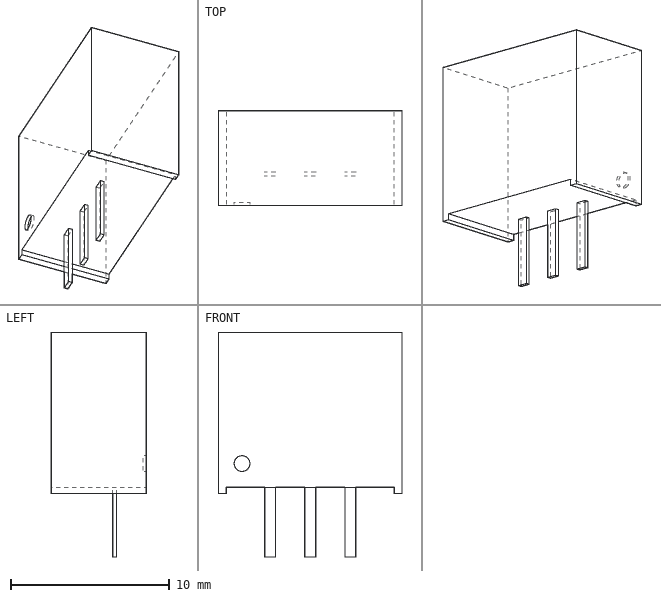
import cadquery as cq

body_length = 11.6
body_width = 6.0
total_height = 14.2
pin_projection = 4.0
body_height = total_height - pin_projection

foot_length = 0.5
foot_height = 0.4

pin_count = 3
pin_pitch = 2.54
pin_width = 0.7
pin_thickness = 0.25
pin_front_offset = 2.0

mark_diameter = 1
mark_depth = 0.2
mark_end_offset = 1.49
mark_height = 1.9

front_y = -body_width / 2
channel_top = pin_projection + foot_height


def make_body():
    block = cq.Workplane("XY").box(body_length, body_width, body_height, centered=(True, True, False))
    channel = cq.Workplane("XY").box(
        body_length - 2 * foot_length, body_width, foot_height, centered=(True, True, False)
    )
    return block.cut(channel).translate((0, 0, pin_projection))


def make_mark():
    mark_x = mark_end_offset - body_length / 2
    mark_z = pin_projection + mark_height
    return (
        cq.Workplane("XZ", origin=(mark_x, front_y, mark_z))
        .circle(mark_diameter / 2)
        .extrude(-mark_depth)
    )


def make_pins():
    return (
        cq.Workplane("XY", origin=(0, front_y + pin_front_offset, 0))
        .rarray(pin_pitch, 0.14, pin_count, 1)
        .rect(pin_width, pin_thickness)
        .extrude(channel_top)
    )


result = make_body().cut(make_mark()).union(make_pins())